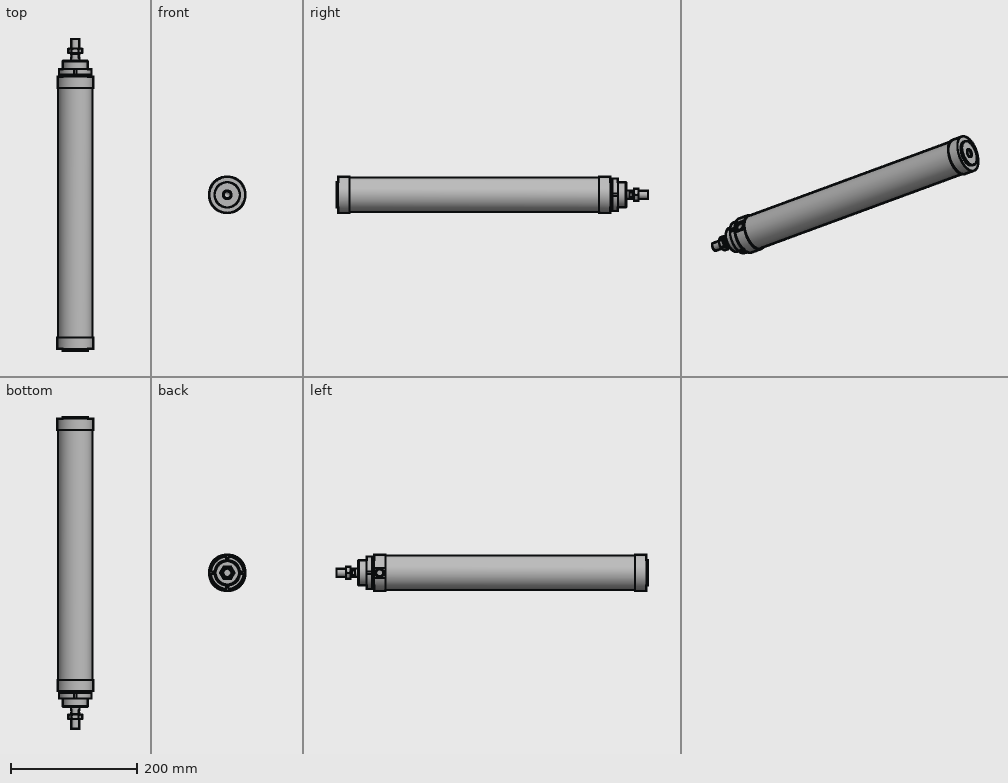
import cadquery as cq
import math

TOTAL_LENGTH = 495.0

CAP_DIAMETER = 58.0
TUBE_DIAMETER = 55.0
NOSE_DIAMETER = 40.0
REAR_BOSS_LENGTH = 3.0
REAR_CAP_LENGTH = 18.5
FRONT_CAP_LENGTH = 18.0
NOSE_LENGTH = 25.0
NOSE_CHAMFER = 1.5
ROD_PROTRUSION = 34.5
NOSE_END_Y = TOTAL_LENGTH - ROD_PROTRUSION
FRONT_CAP_END_Y = NOSE_END_Y - NOSE_LENGTH
FRONT_CAP_START_Y = FRONT_CAP_END_Y - FRONT_CAP_LENGTH
REAR_CAP_END_Y = REAR_BOSS_LENGTH + REAR_CAP_LENGTH

PORT_DIAMETER = 11.5
PORT_MOUTH_DIAMETER = 13.5
PORT_DEPTH = 12.0
PORT_CHAMFER = (PORT_MOUTH_DIAMETER - PORT_DIAMETER) / 2
DRILL_POINT_ANGLE = 118.0
PORT_FLAT_WIDTH = 16.0
PORT_FLAT_X = -math.sqrt((CAP_DIAMETER / 2) ** 2 - (PORT_FLAT_WIDTH / 2) ** 2)

ROD_DIAMETER = 14.0
THREAD_DIAMETER = 13.5
THREAD_LENGTH = 24.0
THREAD_START_Y = TOTAL_LENGTH - THREAD_LENGTH
WRENCH_FLAT_DISTANCE = 12.0
WRENCH_FLAT_LENGTH = 5.0
WRENCH_FLAT_SETBACK = 1.0

ROD_NUT_ACROSS_FLATS = 19.5
ROD_NUT_THICKNESS = 7.5
ROD_NUT_SETBACK = 15.5
ROD_NUT_END_Y = TOTAL_LENGTH - ROD_NUT_SETBACK
ROD_NUT_CHAMFER_HEIGHT = 0.75

MOUNTING_NUT_DIAMETER = 52.0
MOUNTING_NUT_THICKNESS = 9.0
MOUNTING_NUT_SETBACK = 13.5
MOUNTING_NUT_END_Y = NOSE_END_Y - MOUNTING_NUT_SETBACK
SLOT_WIDTH = 4.5
SLOT_DEPTH = 2.5
SLOT_COUNT = 4


def cylinder(diameter, start_y, end_y):
    """Round bar on the Y axis between two stations."""
    return cq.Workplane("XZ", origin=(0, start_y, 0)).circle(diameter / 2).extrude(start_y - end_y)


def port_cutter(tip_height):
    """Port revolved about +Y from its mouth at Y = 0, with a drill point of the given height."""
    mouth_radius = PORT_MOUTH_DIAMETER / 2
    bore_radius = PORT_DIAMETER / 2
    profile = cq.Workplane("XY").moveTo(0, 0).lineTo(mouth_radius, 0).lineTo(bore_radius, PORT_CHAMFER)
    profile = profile.lineTo(bore_radius, PORT_DEPTH).lineTo(0, PORT_DEPTH + tip_height).close()
    return profile.revolve(360, (0, 0, 0), (0, 1, 0))


def make_housing():
    nose = cylinder(NOSE_DIAMETER, FRONT_CAP_END_Y, NOSE_END_Y).faces(">Y").chamfer(NOSE_CHAMFER)
    housing = (
        cylinder(NOSE_DIAMETER, 0, REAR_BOSS_LENGTH)
        .union(cylinder(CAP_DIAMETER, REAR_BOSS_LENGTH, REAR_CAP_END_Y))
        .union(cylinder(TUBE_DIAMETER, REAR_CAP_END_Y, FRONT_CAP_START_Y))
        .union(cylinder(CAP_DIAMETER, FRONT_CAP_START_Y, FRONT_CAP_END_Y))
        .union(nose)
    )

    flat_depth = CAP_DIAMETER / 2 + PORT_FLAT_X
    cap_middle_y = (FRONT_CAP_START_Y + FRONT_CAP_END_Y) / 2
    flat_cutter = cq.Workplane("XY").box(flat_depth, FRONT_CAP_LENGTH, PORT_FLAT_WIDTH)
    flat_cutter = flat_cutter.translate((PORT_FLAT_X - flat_depth / 2, cap_middle_y, 0))

    drill_point_height = PORT_DIAMETER / 2 / math.tan(math.radians(DRILL_POINT_ANGLE / 2))
    rear_port = port_cutter(drill_point_height)
    side_port = port_cutter(0).rotate((0, 0, 0), (0, 0, 1), -90)
    side_port = side_port.translate((PORT_FLAT_X, cap_middle_y, 0))

    rod_bore = cylinder(ROD_DIAMETER, FRONT_CAP_START_Y, NOSE_END_Y)
    return housing.cut(flat_cutter).cut(rear_port).cut(side_port).cut(rod_bore)


def make_rod():
    rod = cylinder(ROD_DIAMETER, FRONT_CAP_START_Y, THREAD_START_Y)
    rod = rod.union(cylinder(THREAD_DIAMETER, THREAD_START_Y, TOTAL_LENGTH))

    flat_center_y = THREAD_START_Y - WRENCH_FLAT_SETBACK - WRENCH_FLAT_LENGTH / 2
    for side in (-1, 1):
        cutter = cq.Workplane("XY").box(ROD_DIAMETER, WRENCH_FLAT_LENGTH, ROD_DIAMETER)
        cutter_x = side * (WRENCH_FLAT_DISTANCE + ROD_DIAMETER) / 2
        rod = rod.cut(cutter.translate((cutter_x, flat_center_y, 0)))
    return rod


def make_rod_nut():
    across_corners = ROD_NUT_ACROSS_FLATS / math.cos(math.pi / 6)
    start_y = ROD_NUT_END_Y - ROD_NUT_THICKNESS
    hexagon = cq.Workplane("XZ", origin=(0, start_y, 0)).polygon(6, across_corners)
    hexagon = hexagon.extrude(-ROD_NUT_THICKNESS)

    corner_setback = (across_corners - ROD_NUT_ACROSS_FLATS) / 2
    chamfered_disc = (
        cylinder(across_corners, start_y, ROD_NUT_END_Y)
        .faces("<Y or >Y")
        .chamfer(ROD_NUT_CHAMFER_HEIGHT, corner_setback)
    )
    return hexagon.intersect(chamfered_disc).cut(cylinder(THREAD_DIAMETER, start_y, ROD_NUT_END_Y))


def make_mounting_nut():
    start_y = MOUNTING_NUT_END_Y - MOUNTING_NUT_THICKNESS
    nut = cylinder(MOUNTING_NUT_DIAMETER, start_y, MOUNTING_NUT_END_Y)
    nut = nut.cut(cylinder(NOSE_DIAMETER, start_y, MOUNTING_NUT_END_Y))
    slot_center = (MOUNTING_NUT_DIAMETER / 2, start_y + MOUNTING_NUT_THICKNESS / 2, 0)
    slot = cq.Workplane("XY").box(2 * SLOT_DEPTH, MOUNTING_NUT_THICKNESS, SLOT_WIDTH).translate(slot_center)
    for index in range(SLOT_COUNT):
        nut = nut.cut(slot.rotate((0, 0, 0), (0, 1, 0), index * 360 / SLOT_COUNT))
    return nut


housing = make_housing()
rod = make_rod()
rod_nut = make_rod_nut()
mounting_nut = make_mounting_nut()

result = cq.Compound.makeCompound([housing.val(), rod.val(), rod_nut.val(), mounting_nut.val()])